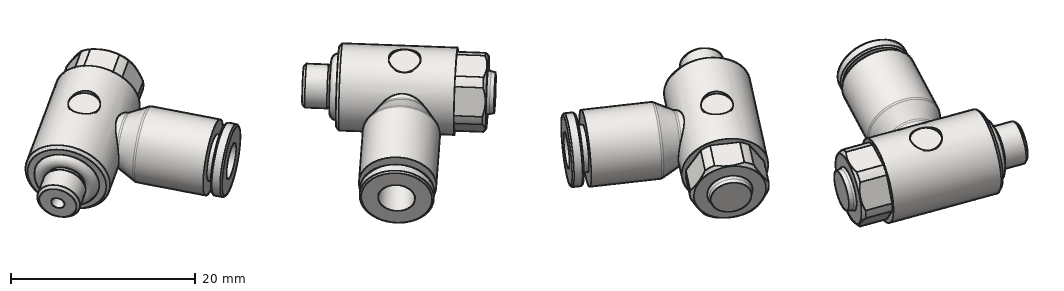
import cadquery as cq


overall_length = 21.27

body_diameter = 9.5
body_radius = body_diameter / 2
body_top = 5.57
body_bottom = -7.25
body_chamfer = 0.35

hex_across_flats = 8.05
hex_corner_radius = 4.34
hex_turn = 30
hex_top = 9.0
hex_chamfer_height = 0.35
hex_chamfer_radius = 3.95

cap_top = 9.8
cap_top_radius = 2.23
cap_neck_radius = 2.35
cap_base_radius = 2.49
cap_neck = 9.32

ring_outer_radius = 3.64
ring_bottom = -8.06
ring_tube_radius = body_bottom - ring_bottom
ring_mid_radius = ring_outer_radius - ring_tube_radius

stud_radius = 2.4
stud_bottom = -11.04
stud_top = ring_bottom
stud_upper_chamfer = 0.25
stud_end_chamfer = 0.32
stud_hole_radius = 0.75

neck_radius = 3.05
branch_radius = 4.21
branch_end = 14.46
cone_start = 4.4
cone_end = 6.64
cone_blend_radius = 0.5
bore_radius = 2.0

groove_radius = 2.6
collar_radius = 4.05
collar_start = 15.2
collar_end = overall_length - body_radius
collar_chamfer = 0.2

recess_radius = 1.75
recess_depth = 0.38
recess_floor = body_radius - recess_depth


def turned_about_y(points):
    """Solid of revolution about Y from (radius, y) points that start and end on the axis."""
    return cq.Workplane("XY").polyline(points).close().revolve(360, (0, 0, 0), (0, 1, 0))


def turned_about_x(points):
    """Solid of revolution about X from (x, radius) points that start and end on the axis."""
    return cq.Workplane("XY").polyline(points).close().revolve(360, (0, 0, 0), (1, 0, 0))


def make_body():
    """Plain cylinder with a chamfer round its lower end."""
    return (
        cq.Workplane("XZ", origin=(0, body_top, 0))
        .circle(body_radius)
        .extrude(body_top - body_bottom)
        .faces("<Y")
        .chamfer(body_chamfer)
    )


def make_hex_head():
    """Hexagon with two flats facing up and down in Z, its corners turned to a cylinder and chamfered."""
    length = hex_top - body_top
    prism = (
        cq.Workplane("XZ", origin=(0, hex_top, 0))
        .polygon(6, hex_across_flats, circumscribed=True)
        .extrude(length)
        .rotate((0, 0, 0), (0, 1, 0), hex_turn)
    )
    rounding = turned_about_y([
        (0, body_top),
        (hex_corner_radius, body_top),
        (hex_corner_radius, hex_top - hex_chamfer_height),
        (hex_chamfer_radius, hex_top),
        (0, hex_top),
    ])
    return prism.intersect(rounding)


def make_cap():
    """Round cap that narrows towards its end."""
    return turned_about_y([
        (0, body_top),
        (cap_base_radius, body_top),
        (cap_base_radius, hex_top),
        (cap_neck_radius, cap_neck),
        (cap_top_radius, cap_top),
        (0, cap_top),
    ])


def make_sealing_ring():
    """Ring of round section, half sunk into the lower face of the body."""
    return (
        cq.Workplane("XY")
        .center(ring_mid_radius, body_bottom)
        .circle(ring_tube_radius)
        .revolve(360, (-ring_mid_radius, 0, 0), (-ring_mid_radius, 1, 0))
    )


def make_stud():
    """Stud with a chamfer at both ends and a narrower neck inside the sealing ring."""
    stud_neck_radius = stud_radius - stud_upper_chamfer
    return turned_about_y([
        (0, stud_bottom),
        (stud_radius - stud_end_chamfer, stud_bottom),
        (stud_radius, stud_bottom + stud_end_chamfer),
        (stud_radius, stud_top - stud_upper_chamfer),
        (stud_neck_radius, stud_top),
        (stud_neck_radius, body_bottom),
        (0, body_bottom),
    ])


def make_branch():
    """Thin neck that widens through a cone to the branch cylinder, with both cone edges rounded."""
    branch = turned_about_x([
        (0, 0),
        (0, neck_radius),
        (cone_start, neck_radius),
        (cone_end, branch_radius),
        (branch_end, branch_radius),
        (branch_end, 0),
    ])
    cone_edges = branch.edges("%CIRCLE").edges("(not <X) and (not >X)")
    return cone_edges.fillet(cone_blend_radius)


def make_collar():
    """Collar with chamfered rims, set off from the branch by a groove."""
    return turned_about_x([
        (branch_end, 0),
        (branch_end, groove_radius),
        (collar_start, groove_radius),
        (collar_start, collar_radius - collar_chamfer),
        (collar_start + collar_chamfer, collar_radius),
        (collar_end - collar_chamfer, collar_radius),
        (collar_end, collar_radius - collar_chamfer),
        (collar_end, 0),
    ])


def make_stud_hole():
    """Hole from the stud end up into the branch bore."""
    return (
        cq.Workplane("XZ")
        .circle(stud_hole_radius)
        .extrude(-stud_bottom)
    )


def make_branch_bore():
    """Bore along the branch that ends in a half ball on the body axis."""
    bore = cq.Workplane("YZ").circle(bore_radius).extrude(collar_end)
    return bore.union(cq.Workplane("XY").sphere(bore_radius))


def make_recess():
    """Round pocket with a flat floor."""
    return (
        cq.Workplane("XY", origin=(0, 0, recess_floor))
        .circle(recess_radius)
        .extrude(recess_depth)
    )


result = (
    make_body()
    .union(make_hex_head())
    .union(make_cap())
    .union(make_sealing_ring())
    .union(make_stud())
    .union(make_branch())
    .union(make_collar())
    .cut(make_stud_hole())
    .cut(make_branch_bore())
    .cut(make_recess())
)